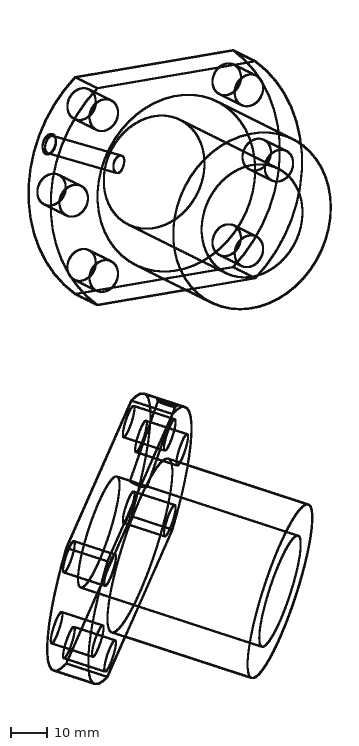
import cadquery as cq
import math

total_length = 53.0
flange_diameter = 79.75
flange_thickness = 12.05
flange_height = 62.0
body_diameter = 50.0
bore_diameter = 32.0

bolt_circle_diameter = 65.1
bolt_hole_diameter = 9.0
bolt_angles = [-45, 0, 45, 135, 180, 225]

oil_hole_diameter = 4.95
oil_hole_mouth_diameter = 6.0
oil_hole_angle = 22.5


def x_cylinder(diameter, length):
    """Cylinder along +X starting at the flange face."""
    return cq.Workplane("YZ").circle(diameter / 2).extrude(length)


def make_flange():
    """Round flange with flats on its top and bottom."""
    flats = cq.Workplane("YZ").rect(flange_diameter, flange_height).extrude(flange_thickness)
    return x_cylinder(flange_diameter, flange_thickness).intersect(flats)


def make_bolt_holes():
    """Plain holes through the flange at the bolt circle."""
    radius = bolt_circle_diameter / 2
    centers = [
        (radius * math.cos(math.radians(angle)), radius * math.sin(math.radians(angle)))
        for angle in bolt_angles
    ]
    return (
        cq.Workplane("YZ")
        .pushPoints(centers)
        .circle(bolt_hole_diameter / 2)
        .extrude(flange_thickness)
    )


def make_oil_hole():
    """Radial hole from the flange rim to the bore, with a 45 degree countersink."""
    rim_radius = flange_diameter / 2
    hole_radius = oil_hole_diameter / 2
    mouth_radius = oil_hole_mouth_diameter / 2
    countersink_depth = mouth_radius - hole_radius
    cutter = (
        cq.Workplane("XY")
        .polyline([
            (0, 0),
            (hole_radius, 0),
            (hole_radius, -rim_radius + countersink_depth),
            (mouth_radius, -rim_radius),
            (0, -rim_radius),
        ])
        .close()
        .revolve(360, (0, 0), (0, 1))
    )
    return (
        cutter
        .rotate((0, 0, 0), (1, 0, 0), -oil_hole_angle)
        .translate((flange_thickness / 2, 0, 0))
    )


result = (
    make_flange()
    .union(x_cylinder(body_diameter, total_length))
    .cut(x_cylinder(bore_diameter, total_length))
    .cut(make_bolt_holes())
    .cut(make_oil_hole())
)